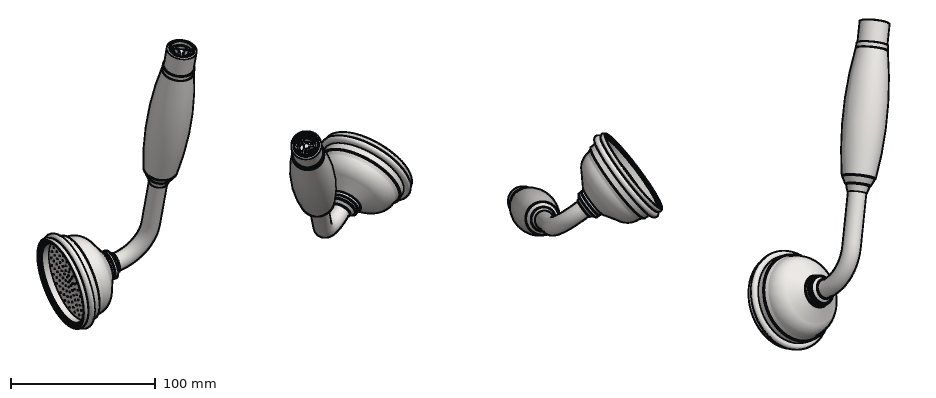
import cadquery as cq
import math


TILT = 9.0
BEND_RADIUS = 28.7
TUBE_RADIUS = 6.5
HANDLE_TOP_HEIGHT = 180.7

CONNECTOR_DIAMETER = 21.0
CONNECTOR_CHAMFER_WIDTH = 1.5
CONNECTOR_CHAMFER_HEIGHT = 0.7
CONNECTOR_END = 15.6
BORE_RADIUS = 8.0
BORE_DEPTH = 7.5
RING_DIAMETER = 22.4
RING_EDGE = 0.5
RING_END = 19.8

STRAINER_TOP = 1.7
STRAINER_FLANGE_DROP = 1.3
STRAINER_WALL_RADIUS = 6.5
STRAINER_INNER_RADIUS = 5.2
HUB_RADIUS = 2.0
SPOKE_WIDTH = 1.5
SPOKE_COUNT = 3

GRIP_TOP_RADIUS = 11.3
GRIP_MIDDLE_RADIUS = 15.5
GRIP_BOTTOM_RADIUS = 12.0
GRIP_END = 109.5
FERRULE_BAND_RADIUS = 11.3
FERRULE_BAND_END = 110.3
FERRULE_CURVE_MIDDLE = 112.7
FERRULE_CURVE_MIDDLE_RADIUS = 10.2
FERRULE_SHOULDER = 115.0
FERRULE_SHOULDER_RADIUS = 9.0
FERRULE_STEP_RADIUS = 8.3
FERRULE_STEP_END = 115.8
FERRULE_END = 120.5
FERRULE_END_RADIUS = 6.7

COLLAR_BACK = 43.5
COLLAR_BACK_RADIUS = 7.2
COLLAR_FLARE_END = 40.0
COLLAR_LAND = 0.7
COLLAR_FLARE_RADIUS = 9.3
COLLAR_RADIUS = 10.5
COLLAR_GROOVE_WIDTH = 0.7
COLLAR_GROOVE_DEPTH = 0.55

BELL_BACK = 35.2
BELL_BACK_RADIUS = 11.5
DOME_START = 28.9
DOME_START_RADIUS = 21.3
DOME_MIDDLE = 24.0
DOME_MIDDLE_RADIUS = 27.0
DOME_END = 17.0
DOME_END_RADIUS = 29.0
BAND_BACK = 13.5
BAND_RADIUS = 31.0
COVE_RADIUS = 30.2
COVE_END = 14.1

RIM_BACK = 8.5
BEAD_DIAMETER = 70.2
BEAD_FRONT = 3.7
BEAD_EDGE_RADIUS = 32.8
LIP_BACK = 3.3
LIP_RADIUS = 33.7
FACE_RADIUS = 29.0
FACE_DEPTH = 7.2
RIM_STEP_WIDTH = 0.9
RIM_STEP_DEPTH = 0.7
RIM_STEP_COUNT = 3

HOLE_DIAMETER = 0.9
HOLE_RING_PITCH = 3.7
HOLE_RING_COUNT = 7
HOLES_ADDED_PER_RING = 3

tilt_sin = math.sin(math.radians(TILT))
tilt_cos = math.cos(math.radians(TILT))
bend_tangent = BEND_RADIUS * math.tan(math.radians((90 - TILT) / 2))
axes_crossing_y = COLLAR_BACK + bend_tangent
handle_length = HANDLE_TOP_HEIGHT / tilt_cos
handle_top = (0, axes_crossing_y + handle_length * tilt_sin, HANDLE_TOP_HEIGHT)
connector_radius = CONNECTOR_DIAMETER / 2
ring_radius = RING_DIAMETER / 2
bead_radius = BEAD_DIAMETER / 2
collar_middle = (COLLAR_FLARE_END + BELL_BACK) / 2


def head_profile():
    """Sketch whose points are (radius, Y); revolving it about Y makes a part of the head."""
    return cq.Workplane("XY")


def revolve_about_head(profile):
    return profile.close().revolve(360, (0, 0, 0), (0, 1, 0))


def handle_plane(distance):
    """Plane across the handle, facing up along its axis, at a distance below its top."""
    origin = (0, handle_top[1] - distance * tilt_sin, handle_top[2] - distance * tilt_cos)
    return cq.Plane(origin=origin, xDir=(1, 0, 0), normal=(0, tilt_sin, tilt_cos))


def handle_profile():
    """Sketch whose points are (radius, -distance below the top)."""
    return cq.Workplane(cq.Plane(origin=handle_top, xDir=(1, 0, 0), normal=(0, -tilt_cos, tilt_sin)))


def revolve_about_handle(profile):
    return profile.close().revolve(360, (0, 0, 0), (0, 1, 0))


def make_connector():
    profile = (
        handle_profile()
        .moveTo(0, -BORE_DEPTH)
        .lineTo(BORE_RADIUS, -BORE_DEPTH)
        .lineTo(BORE_RADIUS, 0)
        .lineTo(connector_radius - CONNECTOR_CHAMFER_WIDTH, 0)
        .lineTo(connector_radius, -CONNECTOR_CHAMFER_HEIGHT)
        .lineTo(connector_radius, -CONNECTOR_END)
        .lineTo(ring_radius - RING_EDGE, -CONNECTOR_END)
        .lineTo(ring_radius, -CONNECTOR_END - RING_EDGE)
        .lineTo(ring_radius, -RING_END + RING_EDGE)
        .lineTo(ring_radius - RING_EDGE, -RING_END)
        .lineTo(0, -RING_END)
    )
    return revolve_about_handle(profile)


def make_strainer():
    """Ring on an outer flange, with a hub held by spokes; it stands on the floor of the bore."""
    height = BORE_DEPTH - STRAINER_TOP
    base = handle_plane(BORE_DEPTH)
    flange_height = height - STRAINER_FLANGE_DROP
    flange = cq.Workplane(base).circle(BORE_RADIUS).circle(STRAINER_INNER_RADIUS).extrude(flange_height)
    wall = cq.Workplane(base).circle(STRAINER_WALL_RADIUS).circle(STRAINER_INNER_RADIUS).extrude(height)
    hub = cq.Workplane(base).circle(HUB_RADIUS).extrude(height)
    strainer = flange.union(wall).union(hub)
    spoke_length = (STRAINER_WALL_RADIUS + STRAINER_INNER_RADIUS) / 2
    for index in range(SPOKE_COUNT):
        spoke = (
            cq.Workplane(base)
            .transformed(rotate=(0, 0, 90 + index * 360 / SPOKE_COUNT))
            .center(spoke_length / 2, 0)
            .rect(spoke_length, SPOKE_WIDTH)
            .extrude(height)
        )
        strainer = strainer.union(spoke)
    return strainer


def make_grip():
    profile = (
        handle_profile()
        .moveTo(0, -RING_END)
        .lineTo(GRIP_TOP_RADIUS, -RING_END)
        .threePointArc((GRIP_MIDDLE_RADIUS, -(RING_END + GRIP_END) / 2), (GRIP_BOTTOM_RADIUS, -GRIP_END))
        .lineTo(0, -GRIP_END)
    )
    return revolve_about_handle(profile)


def make_ferrule():
    profile = (
        handle_profile()
        .moveTo(0, -GRIP_END)
        .lineTo(FERRULE_BAND_RADIUS, -GRIP_END)
        .lineTo(FERRULE_BAND_RADIUS, -FERRULE_BAND_END)
        .threePointArc(
            (FERRULE_CURVE_MIDDLE_RADIUS, -FERRULE_CURVE_MIDDLE),
            (FERRULE_SHOULDER_RADIUS, -FERRULE_SHOULDER),
        )
        .lineTo(FERRULE_STEP_RADIUS, -FERRULE_SHOULDER)
        .lineTo(FERRULE_STEP_RADIUS, -FERRULE_STEP_END)
        .lineTo(FERRULE_END_RADIUS, -FERRULE_END)
        .lineTo(0, -FERRULE_END)
    )
    return revolve_about_handle(profile)


def make_tube():
    straight_length = handle_length - bend_tangent - FERRULE_END
    tube = cq.Workplane(handle_plane(FERRULE_END)).circle(TUBE_RADIUS).extrude(-straight_length)
    bend = (
        cq.Workplane("XZ", origin=(0, COLLAR_BACK, 0))
        .circle(TUBE_RADIUS)
        .revolve(90 - TILT, (-2.2, BEND_RADIUS, 0), (2.2, BEND_RADIUS, 0))
    )
    return tube.union(bend)


def make_collar():
    groove_back = collar_middle + COLLAR_GROOVE_WIDTH / 2
    groove_front = collar_middle - COLLAR_GROOVE_WIDTH / 2
    groove_radius = COLLAR_RADIUS - COLLAR_GROOVE_DEPTH
    profile = (
        head_profile()
        .moveTo(0, COLLAR_BACK)
        .lineTo(COLLAR_BACK_RADIUS, COLLAR_BACK)
        .lineTo(COLLAR_BACK_RADIUS, COLLAR_BACK - COLLAR_LAND)
        .lineTo(COLLAR_FLARE_RADIUS, COLLAR_FLARE_END + COLLAR_LAND)
        .lineTo(COLLAR_FLARE_RADIUS, COLLAR_FLARE_END)
        .lineTo(COLLAR_RADIUS, COLLAR_FLARE_END)
        .lineTo(COLLAR_RADIUS, groove_back)
        .lineTo(groove_radius, groove_back)
        .lineTo(groove_radius, groove_front)
        .lineTo(COLLAR_RADIUS, groove_front)
        .lineTo(COLLAR_RADIUS, BELL_BACK)
        .lineTo(0, BELL_BACK)
    )
    return revolve_about_head(profile)


def make_bell():
    profile = (
        head_profile()
        .moveTo(0, BELL_BACK)
        .lineTo(BELL_BACK_RADIUS, BELL_BACK)
        .lineTo(DOME_START_RADIUS, DOME_START)
        .threePointArc((DOME_MIDDLE_RADIUS, DOME_MIDDLE), (DOME_END_RADIUS, DOME_END))
        .lineTo(COVE_RADIUS, COVE_END)
        .lineTo(COVE_RADIUS, BAND_BACK)
        .lineTo(BAND_RADIUS, BAND_BACK)
        .lineTo(BAND_RADIUS, RIM_BACK)
        .lineTo(0, RIM_BACK)
    )
    return revolve_about_head(profile)


def cut_spray_holes(face):
    """Cut the holes through the plate between the recessed face and the bell."""
    centres = [(0, 0)]
    for ring in range(1, HOLE_RING_COUNT + 1):
        count = HOLES_ADDED_PER_RING * (ring + 1)
        for index in range(count):
            angle = math.pi + index * 2 * math.pi / count
            radius = ring * HOLE_RING_PITCH
            centres.append((radius * math.cos(angle), radius * math.sin(angle)))
    holes = (
        cq.Workplane("XZ", origin=(0, RIM_BACK, 0))
        .pushPoints(centres)
        .circle(HOLE_DIAMETER / 2)
        .extrude(RIM_BACK - FACE_DEPTH)
    )
    return face.cut(holes)


def make_spray_face():
    profile = (
        head_profile()
        .moveTo(0, RIM_BACK)
        .lineTo(BEAD_EDGE_RADIUS, RIM_BACK)
        .threePointArc((bead_radius, (RIM_BACK + BEAD_FRONT) / 2), (BEAD_EDGE_RADIUS, BEAD_FRONT))
        .lineTo(BEAD_EDGE_RADIUS, LIP_BACK)
        .threePointArc((LIP_RADIUS, LIP_BACK / 2), (BEAD_EDGE_RADIUS, 0))
        .lineTo(FACE_RADIUS + RIM_STEP_COUNT * RIM_STEP_WIDTH, 0)
    )
    for step in range(1, RIM_STEP_COUNT + 1):
        radius = FACE_RADIUS + (RIM_STEP_COUNT - step) * RIM_STEP_WIDTH
        profile = (
            profile
            .lineTo(radius + RIM_STEP_WIDTH, step * RIM_STEP_DEPTH)
            .lineTo(radius, step * RIM_STEP_DEPTH)
        )
    profile = profile.lineTo(FACE_RADIUS, FACE_DEPTH).lineTo(0, FACE_DEPTH)
    return cut_spray_holes(revolve_about_head(profile))


connector = make_connector()
strainer = make_strainer()
grip = make_grip()
ferrule = make_ferrule()
tube = make_tube()
collar = make_collar()
bell = make_bell()
spray_face = make_spray_face()

result = cq.Compound.makeCompound([
    connector.val(),
    strainer.val(),
    grip.val(),
    ferrule.val(),
    tube.val(),
    collar.val(),
    bell.val(),
    spray_face.val(),
])